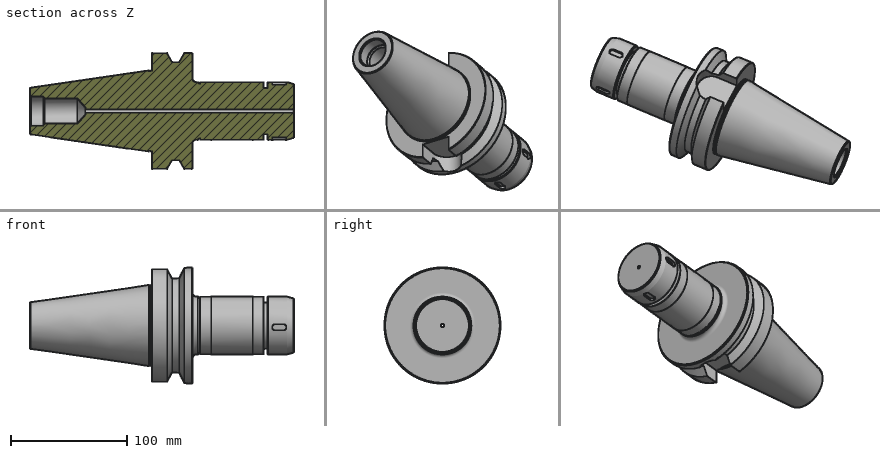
import cadquery as cq
import math

total_length = 226.8
gauge_x = 101.8
flange_start_x = 104.8
rear_rim_end_x = 117.7
vee_floor_start_x = 122.0
vee_floor_end_x = 128.1
front_rim_start_x = 132.5
flange_end_x = 139.7
undercut_start_x = 144.2
undercut_floor_x = 145.5
undercut_end_x = 146.0
body_land_start_x = 155.8
body_land_end_x = 191.2
body_end_x = 200.7
nut_start_x = 204.0
nut_cone_start_x = 220.7

gauge_diameter = 69.9
taper_ratio = 7 / 24
neck_groove_diameter = 68.5
flange_diameter = 100.0
vee_floor_diameter = 84.8
body_diameter = 50.0
body_relief_diameter = 49.7
undercut_diameter = 47.0
gap_diameter = 40.0
nut_cone_end_diameter = 47.0

taper_end_chamfer = 0.7
neck_groove_half_width = 1.1
flange_edge_chamfer = 1.0
flange_rear_chamfer = 0.5
flange_fillet = 3.2
body_end_chamfer = 0.2
gap_fillet = 1.0
nut_rear_chamfer = 0.7
nut_end_chamfer = 1.0

mouth_diameter = 27.0
counterbore_diameter = 25.0
counterbore_depth = 11.3
thread_mouth_diameter = 24.0
tap_hole_diameter = 21.3
tap_hole_depth = 40.8
cone_end_diameter = 6.0
cone_end_depth = 47.6
through_diameter = 2.7

keyway_count = 2
keyway_width = 25.6
keyway_floor_radius = 35.4
keyway_end_x = 135.6

slot_count = 4
slot_width = 5.5
slot_length = 12.2
slot_centre_x = 214.0
slot_depth = 2.3
slot_turn_angle = 3.6


def make_outside():
    """Revolved outer shape of taper, flange, body and nut."""
    taper_r = gauge_diameter / 2
    nose_r = taper_r - gauge_x * taper_ratio / 2
    neck_groove_r = neck_groove_diameter / 2
    rim_r = flange_diameter / 2
    floor_r = vee_floor_diameter / 2
    body_r = body_diameter / 2
    relief_r = body_relief_diameter / 2
    undercut_r = undercut_diameter / 2
    nut_end_r = nut_cone_end_diameter / 2
    gap_r = gap_diameter / 2
    arc_mid = 1 - math.sqrt(0.5)
    fillet_mid = flange_fillet * arc_mid
    return (
        cq.Workplane("XY")
        .moveTo(0, 0)
        .lineTo(0, nose_r - taper_end_chamfer)
        .lineTo(taper_end_chamfer, nose_r + taper_end_chamfer * taper_ratio / 2)
        .lineTo(gauge_x, taper_r)
        .lineTo(gauge_x + neck_groove_half_width, neck_groove_r)
        .lineTo(gauge_x + 2 * neck_groove_half_width, taper_r)
        .lineTo(flange_start_x, taper_r)
        .lineTo(flange_start_x, rim_r - flange_rear_chamfer)
        .lineTo(flange_start_x + flange_rear_chamfer, rim_r)
        .lineTo(rear_rim_end_x, rim_r)
        .lineTo(vee_floor_start_x, floor_r)
        .lineTo(vee_floor_end_x, floor_r)
        .lineTo(front_rim_start_x, rim_r)
        .lineTo(flange_end_x - flange_edge_chamfer, rim_r)
        .lineTo(flange_end_x, rim_r - flange_edge_chamfer)
        .lineTo(flange_end_x, body_r + flange_fillet)
        .threePointArc(
            (flange_end_x + fillet_mid, body_r + fillet_mid),
            (flange_end_x + flange_fillet, body_r),
        )
        .lineTo(undercut_start_x, body_r)
        .lineTo(undercut_floor_x, undercut_r)
        .lineTo(undercut_end_x, undercut_r)
        .lineTo(undercut_end_x, relief_r)
        .lineTo(body_land_start_x, relief_r)
        .lineTo(body_land_start_x, body_r)
        .lineTo(body_land_end_x, body_r)
        .lineTo(body_land_end_x, relief_r)
        .lineTo(body_end_x - body_end_chamfer, relief_r)
        .lineTo(body_end_x, relief_r - body_end_chamfer)
        .lineTo(body_end_x, gap_r + gap_fillet)
        .threePointArc(
            (body_end_x + gap_fillet * arc_mid, gap_r + gap_fillet * arc_mid),
            (body_end_x + gap_fillet, gap_r),
        )
        .lineTo(nut_start_x, gap_r)
        .lineTo(nut_start_x, body_r - nut_rear_chamfer)
        .lineTo(nut_start_x + nut_rear_chamfer, body_r)
        .lineTo(nut_cone_start_x, body_r)
        .lineTo(total_length - nut_end_chamfer, nut_end_r)
        .lineTo(total_length, nut_end_r - nut_end_chamfer)
        .lineTo(total_length, 0)
        .close()
        .revolve(360, (0, 0, 0), (1, 0, 0))
    )


def make_bore():
    """Stepped bore with a drill point and a small through hole."""
    thread_chamfer = (thread_mouth_diameter - tap_hole_diameter) / 2
    mouth_chamfer = (mouth_diameter - counterbore_diameter) / 2
    return (
        cq.Workplane("XY")
        .moveTo(0, 0)
        .lineTo(0, mouth_diameter / 2)
        .lineTo(mouth_chamfer, counterbore_diameter / 2)
        .lineTo(counterbore_depth, counterbore_diameter / 2)
        .lineTo(counterbore_depth, thread_mouth_diameter / 2)
        .lineTo(counterbore_depth + thread_chamfer, tap_hole_diameter / 2)
        .lineTo(tap_hole_depth, tap_hole_diameter / 2)
        .lineTo(cone_end_depth, cone_end_diameter / 2)
        .lineTo(cone_end_depth, through_diameter / 2)
        .lineTo(total_length, through_diameter / 2)
        .lineTo(total_length, 0)
        .close()
        .revolve(360, (0, 0, 0), (1, 0, 0))
    )


def make_keyway():
    """Round-ended keyway cutter on the +Z side."""
    end_radius = keyway_width / 2
    arc_centre_x = keyway_end_x - end_radius
    return (
        cq.Workplane("XY", origin=(0, 0, keyway_floor_radius))
        .moveTo(flange_start_x, -end_radius)
        .lineTo(arc_centre_x, -end_radius)
        .threePointArc((keyway_end_x, 0), (arc_centre_x, end_radius))
        .lineTo(flange_start_x, end_radius)
        .close()
        .extrude(flange_diameter / 2)
    )


def make_spanner_slot():
    """Shallow spanner slot cutter on the +Z side of the nut."""
    return (
        cq.Workplane("XY", origin=(slot_centre_x, 0, body_diameter / 2 - slot_depth))
        .slot2D(slot_length, slot_width)
        .extrude(2 * slot_depth)
    )


def turned(shape, angle):
    """Turn a shape about the part axis."""
    return shape.rotate((0, 0, 0), (1, 0, 0), angle)


result = make_outside().cut(make_bore())
for index in range(keyway_count):
    result = result.cut(turned(make_keyway(), 360 / keyway_count * index))
for index in range(slot_count):
    result = result.cut(turned(make_spanner_slot(), slot_turn_angle + 360 / slot_count * index))